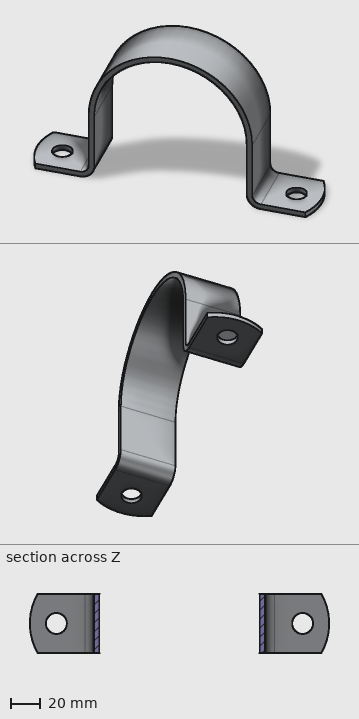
import cadquery as cq

overall_length = 202.0
strap_width = 40.0
overall_height = 109.0
thickness = 4.0
arch_inner_radius = 54.0
bend_inner_radius = 6.0
end_radius = 40.0
hole_diameter = 14.0
hole_spacing = 166.0

arch_outer_radius = arch_inner_radius + thickness
arch_center_z = overall_height - arch_outer_radius
bend_outer_radius = bend_inner_radius + thickness
bend_center_x = arch_inner_radius + bend_outer_radius
half_length = overall_length / 2


def make_strap():
    """Strap of constant thickness: arch, straight legs, bends and flat feet, base at Z = 0."""
    profile = (
        cq.Workplane("XZ")
        .moveTo(-half_length, 0)
        .lineTo(-bend_center_x, 0)
        .radiusArc((-arch_inner_radius, bend_outer_radius), -bend_outer_radius)
        .lineTo(-arch_inner_radius, arch_center_z)
        .threePointArc((0, arch_center_z + arch_inner_radius), (arch_inner_radius, arch_center_z))
        .lineTo(arch_inner_radius, bend_outer_radius)
        .radiusArc((bend_center_x, 0), -bend_outer_radius)
        .lineTo(half_length, 0)
        .lineTo(half_length, thickness)
        .lineTo(bend_center_x, thickness)
        .radiusArc((arch_outer_radius, bend_outer_radius), bend_inner_radius)
        .lineTo(arch_outer_radius, arch_center_z)
        .threePointArc((0, overall_height), (-arch_outer_radius, arch_center_z))
        .lineTo(-arch_outer_radius, bend_outer_radius)
        .radiusArc((-bend_center_x, thickness), bend_inner_radius)
        .lineTo(-half_length, thickness)
        .close()
    )
    return profile.extrude(strap_width / 2, both=True)


def round_foot_ends(strap):
    """Trim both foot ends to shallow arcs that bulge outward."""
    half_width = strap_width / 2
    arc_depth = end_radius - (end_radius**2 - half_width**2) ** 0.5
    corner_x = half_length - arc_depth
    envelope = (
        cq.Workplane("XY")
        .moveTo(-corner_x, -half_width)
        .lineTo(corner_x, -half_width)
        .threePointArc((half_length, 0), (corner_x, half_width))
        .lineTo(-corner_x, half_width)
        .threePointArc((-half_length, 0), (-corner_x, -half_width))
        .close()
        .extrude(overall_height)
    )
    return strap.intersect(envelope)


def cut_foot_holes(strap):
    """Drill one bolt hole through each foot."""
    holes = (
        cq.Workplane("XY")
        .pushPoints([(-hole_spacing / 2, 0), (hole_spacing / 2, 0)])
        .circle(hole_diameter / 2)
        .extrude(thickness)
    )
    return strap.cut(holes)


result = cut_foot_holes(round_foot_ends(make_strap()))